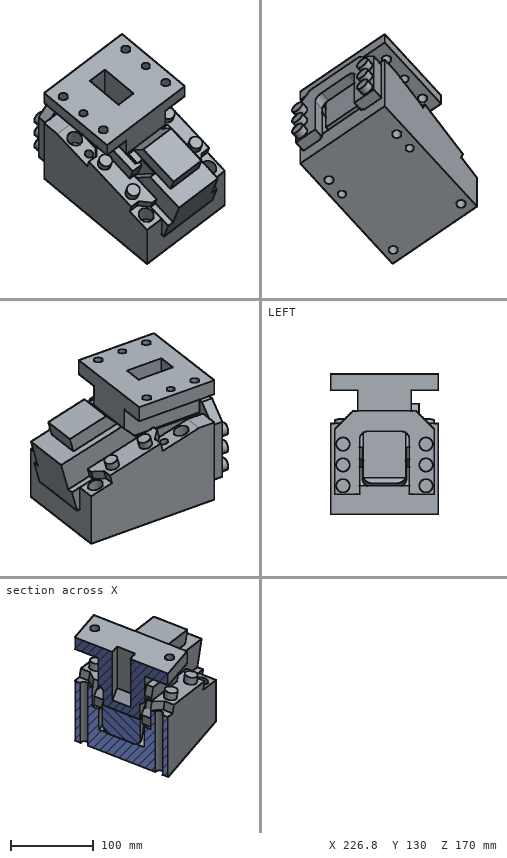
import cadquery as cq
import math

tilt = 15.0

base_length = 180.0
base_width = 130.0
base_height = 110.0
slope_start = 22.5
cavity_width = 62.0
cavity_floor = 34.5
cavity_end = 91.8

gib_start = 43.0
gib_length = 100.0
gib_thickness = 12.0
gib_gap = 66.6
gib_chamfer = 11.5

head_diameter = 16.0
head_height = 10.0
gib_screw_start = 68.5
gib_screw_pitch = 50.0

hole_offset = 52.1
bolt_diameter = 11.0
dowel_diameter = 10.0
counterbore_diameter = 18.1
counterbore_depth = 20.0
base_bolts = (40.0, 165.0)
base_dowel = 65.0
driver_bolts = (20.0, 90.0)
driver_dowel = 55.0

plate_thickness = 15.0
plate_width = 120.1
plate_bottom = 24.7
plate_top = 125.0
plate_chamfer = 22.0
opening_width = 60.3
opening_top = 100.5
opening_radius = 10.0
relief_width = 66.6
relief_depth = 1.4
plate_screw_offset = 50.0
plate_screw_heights = (34.7, 59.8, 85.0)

slide_end = 175.0
slide_width = 65.0
slide_rise = 39.7
boss_end = 150.0
boss_width = 47.0
boss_height = 20.0
flange_width = 81.1
flange_thickness = 30.0
flange_start = 68.2
nose_start = 40.1
nose_length = 20.0
nose_width = 53.7
nose_depth = 64.0
nose_radius = 11.8

cam_height = 13.0
slot_start = 19.5
slot_end = 47.8
slot_depth = 8.0

driver_length = 110.0
driver_top = 170.0
driver_head = 20.0
stem_bottom = 107.7
leg_width = 51.0
leg_bottom = 44.5
pocket_start = 25.0
pocket_length = 50.0
pocket_width = 25.0
pocket_flat = 19.5
pocket_wall = 14.0

hook_start = 37.8
hook_length = 65.0
hook_rise = 15.0
hook_height = 20.0
hook_outer = 42.0
hook_thickness = 15.0

far = 340.0


def box(x_limits, y_limits, z_limits):
    """Box between two limits on each axis."""
    corner = (x_limits[0], y_limits[0], z_limits[0])
    sizes = [high - low for low, high in (x_limits, y_limits, z_limits)]
    return cq.Workplane("XY").box(*sizes, centered=False).translate(corner)


def centred(width):
    """Limits of a width that straddles the middle plane."""
    return (-width / 2, width / 2)


def on_slope(shape):
    """Move a shape built as (along, across, rise) onto the slope."""
    return shape.rotate((0, 0, 0), (0, 1, 0), tilt).translate((slope_start, 0, base_height))


def slope_height(x):
    return base_height - (x - slope_start) * math.tan(math.radians(tilt))


def cylinder(x, y, diameter, z_limits):
    bottom, top = z_limits
    return cq.Workplane("XY", origin=(x, y, bottom)).circle(diameter / 2).extrude(top - bottom)


def prism(outline, y_limits):
    """Prism along Y from an outline of (x, z) points."""
    low, high = y_limits
    return cq.Workplane("XZ", origin=(0, low, 0)).polyline(outline).close().extrude(low - high)


def cam_band(start, end, y_limits):
    """Slab parallel to the cam face, between two offsets along X from it."""
    outline = [
        (start - far, cam_height - far),
        (end - far, cam_height - far),
        (end + far, cam_height + far),
        (start + far, cam_height + far),
    ]
    return prism(outline, y_limits)


def slide_nose():
    nose = box((nose_start, nose_start + nose_length), centred(nose_width), (-nose_depth, 0))
    return on_slope(nose.faces("<Z").edges("|X").fillet(nose_radius))


def slide_flange():
    flange = on_slope(box((0, slide_end), centred(flange_width), (-flange_thickness, 0)))
    return flange.cut(box((-far, flange_start), (-far, far), (-far, far)))


def return_slot():
    """45 degree slot in the -Y side of the slide, for the hook of the driver."""
    side = -slide_width / 2
    slot = cam_band(slot_start, slot_end, (side, side + slot_depth))
    return slot.intersect(on_slope(box((0, slide_end), (-far, far), (0, slide_rise))))


def make_slide():
    upper = on_slope(box((0, slide_end), centred(slide_width), (0, slide_rise)))
    boss = on_slope(box((0, boss_end), centred(boss_width), (0, slide_rise + boss_height)))
    body = upper.union(boss).union(slide_flange()).union(slide_nose())
    return body.cut(cam_band(-far, 0, (-far, far))).cut(return_slot())


def base_block():
    outline = [
        (0, 0),
        (base_length, 0),
        (base_length, slope_height(base_length)),
        (slope_start, base_height),
        (0, base_height),
    ]
    return prism(outline, centred(base_width))


def slide_way():
    """Room for the slide: a front cavity, the flange way behind it and a recess for the nose."""
    cavity = box((-far, base_length), centred(cavity_width), (cavity_floor, far))
    cavity = cavity.intersect(on_slope(box((-far, cavity_end), (-far, far), (-far, far))))
    way = on_slope(box((-far, far), centred(flange_width), (-flange_thickness, far)))
    return cavity.union(way).union(slide_nose())


def gib(side):
    """Hold-down strip with chamfered inner corners and two screw heads."""
    inner = gib_gap / 2
    outer = base_width / 2
    corner = flange_width / 2
    gib_end = gib_start + gib_length
    outline = [
        (gib_start, inner),
        (gib_end, inner),
        (gib_end, corner),
        (gib_end - gib_chamfer, corner + gib_chamfer),
        (gib_end - gib_chamfer, outer),
        (gib_start + gib_chamfer, outer),
        (gib_start + gib_chamfer, corner + gib_chamfer),
        (gib_start, corner),
    ]
    mirrored = [(along, side * across) for along, across in outline]
    strip = cq.Workplane("XY").polyline(mirrored).close().extrude(gib_thickness)
    for along in (gib_screw_start, gib_screw_start + gib_screw_pitch):
        head_top = gib_thickness + head_height
        strip = strip.union(cylinder(along, side * hole_offset, head_diameter, (0, head_top)))
    return on_slope(strip)


def base_holes(side):
    y = side * hole_offset
    holes = cylinder(base_dowel, y, dowel_diameter, (0, base_height))
    for x in base_bolts:
        seat = slope_height(x) - counterbore_depth
        holes = holes.union(cylinder(x, y, bolt_diameter, (0, base_height)))
        holes = holes.union(cylinder(x, y, counterbore_diameter, (seat, base_height)))
    return holes


def front_plate():
    depth = (-plate_thickness, 0)
    plate = box(depth, centred(plate_width), (plate_bottom, plate_top))
    plate = plate.faces(">Z").edges("|X").chamfer(plate_chamfer)
    opening = box(depth, centred(opening_width), (0, opening_top))
    opening = opening.faces(">Z").edges("|X").fillet(opening_radius)
    relief = box((-relief_depth, 0), centred(relief_width), (0, plate_top))
    return plate.cut(opening).cut(relief)


def plate_screw(y, z):
    front = cq.Workplane("YZ", origin=(-plate_thickness, y, z))
    return front.circle(head_diameter / 2).extrude(-head_height)


def make_base():
    body = base_block().cut(slide_way()).union(front_plate())
    for side in (-1, 1):
        body = body.cut(base_holes(side)).union(gib(side))
        for z in plate_screw_heights:
            body = body.union(plate_screw(side * plate_screw_offset, z))
    return body


def driver_column():
    """Stem and narrower leg, joined by 45 degree undercuts."""
    undercut = (slide_width - leg_width) / 2
    outline = [
        (slide_width / 2, driver_top),
        (slide_width / 2, stem_bottom),
        (leg_width / 2, stem_bottom - undercut),
        (leg_width / 2, leg_bottom),
    ]
    outline += [(-y, z) for y, z in reversed(outline)]
    return cq.Workplane("YZ").polyline(outline).close().extrude(driver_length)


def driver_holes(side):
    y = side * hole_offset
    depth = (driver_top - driver_head, driver_top)
    holes = cylinder(driver_dowel, y, dowel_diameter, depth)
    for x in driver_bolts:
        holes = holes.union(cylinder(x, y, bolt_diameter, depth))
    return holes


def driver_pocket():
    """Pocket whose floor is level, then climbs parallel to the cam face."""
    bend = pocket_start + pocket_flat
    end = pocket_start + pocket_length
    floor = bend + cam_height + pocket_wall
    outline = [
        (pocket_start, driver_top),
        (pocket_start, floor),
        (bend, floor),
        (end, floor + end - bend),
        (end, driver_top),
    ]
    return prism(outline, centred(pocket_width))


def return_hook():
    """Block on the -Y side whose inner part reaches into the return slot of the slide."""
    slide_side = -slide_width / 2
    hook = on_slope(
        box(
            (hook_start, hook_start + hook_length),
            (-hook_outer, hook_thickness - hook_outer),
            (hook_rise, hook_rise + hook_height),
        )
    )
    return hook.cut(cam_band(0, slot_start, (slide_side, 0)))


def make_driver():
    head = box((0, driver_length), centred(base_width), (driver_top - driver_head, driver_top))
    body = head.union(driver_column()).cut(driver_pocket())
    body = body.cut(cam_band(0, far, (-far, far)))
    for side in (-1, 1):
        body = body.cut(driver_holes(side))
    return body.union(return_hook())


base = make_base()
slide = make_slide()
driver = make_driver()
result = cq.Compound.makeCompound([base.val(), slide.val(), driver.val()])